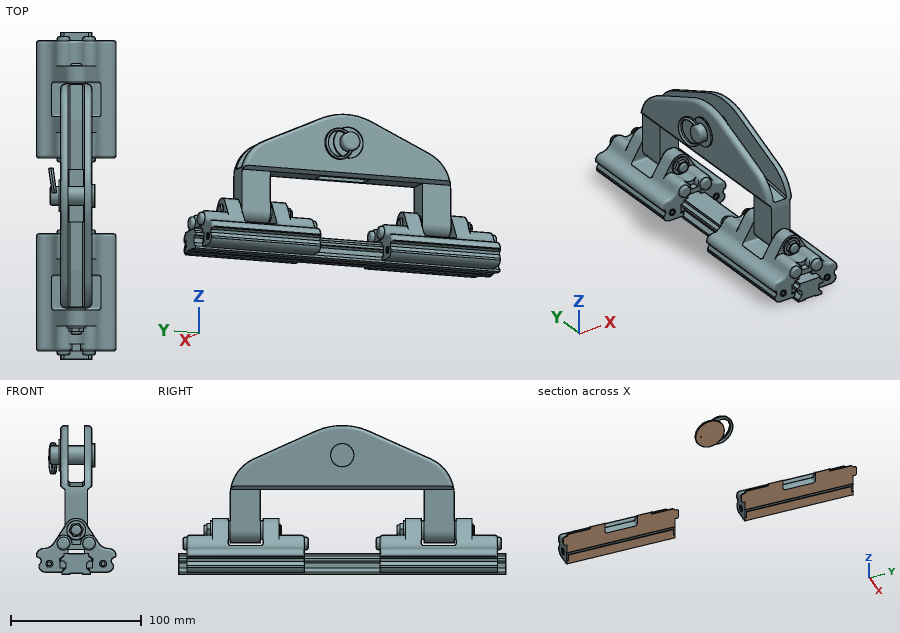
import cadquery as cq
import math

RAIL_LENGTH = 250.0
RAIL_TOP = 15.8
RAIL_NECK_HALF = 8.0

CARRIAGE_SPACING = 147.5
CARRIAGE_LENGTH = 89.8
CARRIAGE_HALF_WIDTH = 30.5
CARRIAGE_BOTTOM = 1.5
CARRIAGE_END_ROUND = 2.2
UNDERSIDE_SLOT_HALF = 6.2
UNDERSIDE_SLOT_TOP = 18.8
RETAINER_RECESS = 1.2
GREASE_HOLE_X = 20.5
GREASE_HOLE_Z = 8.0
GREASE_HOLE_STEPS = ((5.2, 0.8), (3.0, 3.0))

PIVOT_Z = 33.8
LUG_RADIUS = 9.0
LUG_PAIR_LENGTH = 51.0
FLANK_ANGLE = math.radians(33)
FLANK_FOOT_RADIUS = 9.0
WING_TOP = 19.8
LUG_GAP = 26.5
LUG_GAP_FLOOR = 22.0
LUG_GAP_FILLET = 1.8

BOSS_X = 9.8
BOSS_Z = 23.5
END_NOTCH_LENGTH = 5.5
END_NOTCH_FLOOR = 22.8
SCREW_HEAD_DIAMETER = 9.8
SCREW_HEAD_HEIGHT = 3.0
SCREW_HEAD_ROUND = 1.8

LEG_WIDTH = 17.5
LEG_LENGTH = 23.2
LEG_OUTER_Y = 85.8
LEG_FOOT_Z = 32.8
BEAM_HALF_WIDTH = 12.0
BEAM_BOTTOM = 64.8
BEAM_TOP = 113.8
BEAM_CROWN_RADIUS = 50.0
BEAM_SHOULDER_RADIUS = 31.0
BEAM_SHOULDER_Z = 60.0
BEAM_EDGE = 3.12
BEAM_BEVEL_HEIGHT = 2.8
FORK_GAP = 12.2
FORK_FLOOR = 70.2
FORK_FLOOR_END = 67.0
FORK_FLOOR_BREAK = 57.2
FORK_FLOOR_CHAMFER = 1.2
WINDOW_LENGTH = 40.0
WINDOW_WIDTH = 11.2

PIVOT_WASHER_DIAMETER = 14.5
PIVOT_WASHER_THICKNESS = 1.5
PIVOT_HEAD_DIAMETER = 9.0
PIVOT_HEAD_HEIGHT = 1.8
PIVOT_HEAD_CHAMFER = 1.2
PIVOT_NUT_FLATS = 9.5
PIVOT_NUT_TURN = 37.0
PIVOT_NUT_HEIGHT = 2.8
PIVOT_TIP_DIAMETER = 8.0
PIVOT_TIP_HEIGHT = 2.2
PIVOT_TIP_ROUND = 1.5

CLEVIS_Z = 91.0
CLEVIS_DIAMETER = 14.5
CLEVIS_END_X = -20.0
CLEVIS_END_ROUND = 1.8
CLEVIS_HEAD_DIAMETER = 17.8
CLEVIS_HEAD_HEIGHT = 2.2
CLEVIS_WASHER_DIAMETER = 24.0
CLEVIS_WASHER_THICKNESS = 1.2

RING_OUTER_DIAMETER = 24.0
RING_WIRE = 2.0
RING_COIL_PITCH = 1.5
RING_CENTRE = (-17.8, 9.5, 88.5)
RING_TILT = 8.0


def along_y(profile, y_start, length):
    """Extrude a sketch drawn in (X, Z) toward +Y."""
    return profile.extrude(-length).translate((0, y_start, 0))


def cylinder_y(x, z, diameter, y_start, length):
    disc = cq.Workplane("XZ").center(x, z).circle(diameter / 2)
    return along_y(disc, y_start, length)


def cylinder_x(y, z, diameter, x_start, length):
    disc = cq.Workplane("YZ").center(y, z).circle(diameter / 2)
    return disc.extrude(length).translate((x_start, 0, 0))


def mirrored_outline(half):
    """Close a right-hand (X, Z) outline that runs from axis to axis by mirroring it."""
    left = [(-x, z) for x, z in reversed(half)]
    return cq.Workplane("XZ").polyline(half + left).close()


def on_circle(centre_x, centre_z, radius, angle):
    return (centre_x + radius * math.cos(angle), centre_z + radius * math.sin(angle))


def make_rail():
    half = [
        (4.8, 0.8),
        (4.8, 0.0),
        (11.0, 0.0),
        (11.0, 1.8),
        (RAIL_NECK_HALF, 4.8),
        (RAIL_NECK_HALF, 8.5),
        (9.5, 10.0),
        (12.0, 10.0),
        (12.0, 12.0),
        (9.5, 14.0),
        (9.5, RAIL_TOP),
    ]
    return along_y(mirrored_outline(half), -RAIL_LENGTH / 2, RAIL_LENGTH)


LUG_TANGENT = on_circle(0, PIVOT_Z, LUG_RADIUS, FLANK_ANGLE)

BOSS_RADIUS = LUG_RADIUS - BOSS_X * math.cos(FLANK_ANGLE) + (PIVOT_Z - BOSS_Z) * math.sin(FLANK_ANGLE)
BOSS_TANGENT = on_circle(BOSS_X, BOSS_Z, BOSS_RADIUS, FLANK_ANGLE)

FOOT_Z = WING_TOP + FLANK_FOOT_RADIUS
FOOT_X = (LUG_RADIUS + FLANK_FOOT_RADIUS - (FOOT_Z - PIVOT_Z) * math.sin(FLANK_ANGLE)) / math.cos(FLANK_ANGLE)
FOOT_TANGENT = on_circle(FOOT_X, FOOT_Z, FLANK_FOOT_RADIUS, FLANK_ANGLE + math.pi)
FOOT_MIDDLE = on_circle(FOOT_X, FOOT_Z, FLANK_FOOT_RADIUS, (FLANK_ANGLE + 2.5 * math.pi) / 2)

WING_RADIUS = CARRIAGE_HALF_WIDTH - FOOT_X

VALLEY_ANGLE = math.atan2(BOSS_Z - PIVOT_Z, BOSS_X)
VALLEY_RADIUS = math.hypot(BOSS_X, PIVOT_Z - BOSS_Z) - BOSS_RADIUS
VALLEY_TANGENT = on_circle(0, PIVOT_Z, VALLEY_RADIUS, VALLEY_ANGLE)


def wing_outline():
    """Right half of the carriage from the middle of its underside up to the flank."""
    sketch = cq.Workplane("XZ").moveTo(0, CARRIAGE_BOTTOM).lineTo(23.0, CARRIAGE_BOTTOM)
    sketch = sketch.threePointArc((26.8, 2.8), (28.5, 5.2)).lineTo(28.5, 6.8).lineTo(26.8, 9.8)
    sketch = sketch.lineTo(27.2, 12.0).lineTo(30.0, 13.2).lineTo(CARRIAGE_HALF_WIDTH, WING_TOP - WING_RADIUS)
    wing_bow = on_circle(FOOT_X, WING_TOP - WING_RADIUS, WING_RADIUS, math.pi / 4)
    sketch = sketch.threePointArc(wing_bow, (FOOT_X, WING_TOP))
    return sketch.threePointArc(FOOT_MIDDLE, FOOT_TANGENT)


def lug_section(length):
    """Full-height section, with the arc round the pivot at its top."""
    top = PIVOT_Z + LUG_RADIUS
    bow = on_circle(0, PIVOT_Z, LUG_RADIUS, (FLANK_ANGLE + math.pi / 2) / 2)
    half = wing_outline().lineTo(*LUG_TANGENT).threePointArc(bow, (0, top)).close()
    return along_y(half, -length / 2, length).mirror("YZ", union=True).clean()


def boss_section(length):
    """Low section, with the two screw bosses and the valley between them."""
    bow = on_circle(0, PIVOT_Z, VALLEY_RADIUS, (VALLEY_ANGLE - math.pi / 2) / 2)
    half = wing_outline().lineTo(*BOSS_TANGENT)
    half = half.threePointArc((BOSS_X, BOSS_Z + BOSS_RADIUS), VALLEY_TANGENT)
    half = half.threePointArc(bow, (0, PIVOT_Z - VALLEY_RADIUS)).close()
    return along_y(half, -length / 2, length).mirror("YZ", union=True).clean()


def end_notch():
    """Space between the two boss cylinders, from the notch floor up, starting at Y = 0."""
    height = PIVOT_Z - END_NOTCH_FLOOR
    sketch = cq.Workplane("XZ").center(0, END_NOTCH_FLOOR + height / 2).rect(2 * BOSS_X, height)
    notch = along_y(sketch, 0, END_NOTCH_LENGTH)
    for side in (-1, 1):
        notch = notch.cut(cylinder_y(side * BOSS_X, BOSS_Z, 2 * BOSS_RADIUS, 0, END_NOTCH_LENGTH))
    return notch


def make_carriage():
    """Carriage centred on Y = 0."""
    end_y = CARRIAGE_LENGTH / 2
    body = boss_section(CARRIAGE_LENGTH)
    upper = cq.selectors.BoxSelector((-32.5, -50, 13.8), (32.5, 50, 50))
    body = body.faces("<Y or >Y").edges(upper).fillet(CARRIAGE_END_ROUND)
    body = body.union(lug_section(LUG_PAIR_LENGTH))
    body = body.cut(end_notch().translate((0, -end_y, 0)))

    gap_height = PIVOT_Z
    gap = cq.Workplane("XY").box(2 * CARRIAGE_HALF_WIDTH, LUG_GAP, gap_height)
    gap = gap.edges("|X and <Z").fillet(LUG_GAP_FILLET)
    body = body.cut(gap.translate((0, 0, LUG_GAP_FLOOR + gap_height / 2)))

    channel = [
        (11.0, 0.0),
        (11.0, CARRIAGE_BOTTOM),
        (9.8, 2.8),
        (9.8, 4.8),
        (12.5, 4.8),
        (12.5, 11.8),
        (9.5, 14.0),
        (9.5, RAIL_TOP),
        (UNDERSIDE_SLOT_HALF, RAIL_TOP),
        (UNDERSIDE_SLOT_HALF, UNDERSIDE_SLOT_TOP),
    ]
    body = body.cut(along_y(mirrored_outline(channel), -end_y, CARRIAGE_LENGTH))

    strip_length = CARRIAGE_LENGTH - 2 * RETAINER_RECESS
    for side in (-1, 1):
        strip = cq.Workplane("XZ").center(side * (12.5 + RAIL_NECK_HALF) / 2, (4.8 + 10.0) / 2)
        strip = strip.rect(12.5 - RAIL_NECK_HALF, 10.0 - 4.8)
        body = body.union(along_y(strip, -strip_length / 2, strip_length))

        for diameter, depth in GREASE_HOLE_STEPS:
            for hole_y in (-end_y, end_y - depth):
                body = body.cut(cylinder_y(side * GREASE_HOLE_X, GREASE_HOLE_Z, diameter, hole_y, depth))

        screw_length = CARRIAGE_LENGTH + 2 * SCREW_HEAD_HEIGHT
        heads = cylinder_y(side * BOSS_X, BOSS_Z, SCREW_HEAD_DIAMETER, -screw_length / 2, screw_length)
        heads = heads.faces("<Y or >Y").edges().fillet(SCREW_HEAD_ROUND)
        core = cq.Workplane("XY").box(75, CARRIAGE_LENGTH - 5, 100)
        body = body.union(heads.cut(core))
    return body.union(make_pivot_pin())


def make_pivot_pin():
    """Pin along Y through both lugs: head at +Y, washer, nut and rounded tip at -Y."""
    lug_y = LUG_PAIR_LENGTH / 2
    nut_y = -lug_y - PIVOT_WASHER_THICKNESS - PIVOT_NUT_HEIGHT
    tip_y = nut_y - PIVOT_TIP_HEIGHT
    pin = cylinder_y(0, PIVOT_Z, PIVOT_TIP_DIAMETER, tip_y, lug_y - tip_y)
    pin = pin.faces("<Y").edges().fillet(PIVOT_TIP_ROUND)
    hexagon = cq.Workplane("XZ").center(0, PIVOT_Z).polygon(6, PIVOT_NUT_FLATS, circumscribed=True)
    nut = along_y(hexagon, nut_y, PIVOT_NUT_HEIGHT)
    pin = pin.union(nut.rotate((0, 0, PIVOT_Z), (0, 1, PIVOT_Z), -PIVOT_NUT_TURN))
    for washer_y, thickness in (
        (-lug_y - PIVOT_WASHER_THICKNESS, PIVOT_WASHER_THICKNESS),
        (-LUG_GAP / 2, LUG_GAP),
    ):
        pin = pin.union(cylinder_y(0, PIVOT_Z, PIVOT_WASHER_DIAMETER, washer_y, thickness))
    head = cylinder_y(0, PIVOT_Z, PIVOT_HEAD_DIAMETER, lug_y, PIVOT_HEAD_HEIGHT)
    return pin.union(head.faces(">Y").edges().chamfer(PIVOT_HEAD_CHAMFER))


def beam_side(half_width):
    """Beam silhouette in (Y, Z): crown arc, straight slopes, shoulder arcs and plumb ends down to Z = 0."""
    crown_z = BEAM_TOP - BEAM_CROWN_RADIUS
    shoulder_y = LEG_OUTER_Y - BEAM_SHOULDER_RADIUS
    rise = crown_z - BEAM_SHOULDER_Z
    reach = math.hypot(shoulder_y, rise)
    normal = math.acos((BEAM_CROWN_RADIUS - BEAM_SHOULDER_RADIUS) / reach) - math.atan2(rise, shoulder_y)
    crown = on_circle(0, crown_z, BEAM_CROWN_RADIUS, normal)
    shoulder = on_circle(shoulder_y, BEAM_SHOULDER_Z, BEAM_SHOULDER_RADIUS, normal)
    bow = on_circle(shoulder_y, BEAM_SHOULDER_Z, BEAM_SHOULDER_RADIUS, normal / 2)
    sketch = cq.Workplane("YZ").moveTo(LEG_OUTER_Y, 0).lineTo(LEG_OUTER_Y, BEAM_SHOULDER_Z)
    sketch = sketch.threePointArc(bow, shoulder).lineTo(*crown)
    sketch = sketch.threePointArc((0, BEAM_TOP), (-crown[0], crown[1])).lineTo(-shoulder[0], shoulder[1])
    sketch = sketch.threePointArc((-bow[0], bow[1]), (-LEG_OUTER_Y, BEAM_SHOULDER_Z))
    return sketch.lineTo(-LEG_OUTER_Y, 0).close().extrude(half_width, both=True)


def make_beam():
    beam = beam_side(BEAM_HALF_WIDTH)
    beam = beam.faces("<X or >X").edges("not <Z").fillet(BEAM_EDGE)
    bevel = [
        (BEAM_HALF_WIDTH - BEAM_EDGE, BEAM_BOTTOM),
        (BEAM_HALF_WIDTH, BEAM_BOTTOM + BEAM_BEVEL_HEIGHT),
        (BEAM_HALF_WIDTH, BEAM_TOP),
    ]
    beam = beam.intersect(along_y(mirrored_outline(bevel), -LEG_OUTER_Y, 2 * LEG_OUTER_Y))

    floor = [
        (LEG_OUTER_Y, FORK_FLOOR_END),
        (FORK_FLOOR_BREAK, FORK_FLOOR),
        (-FORK_FLOOR_BREAK, FORK_FLOOR),
        (-LEG_OUTER_Y, FORK_FLOOR_END),
        (-LEG_OUTER_Y, BEAM_TOP),
        (LEG_OUTER_Y, BEAM_TOP),
    ]
    fork = cq.Workplane("YZ").polyline(floor).close().extrude(FORK_GAP / 2, both=True)
    floor_edges = cq.selectors.BoxSelector((-7.5, -100, FORK_FLOOR_END - 2.5), (7.5, 100, FORK_FLOOR + 2.5))
    fork = fork.faces("<X or >X").edges(floor_edges).chamfer(FORK_FLOOR_CHAMFER)
    window = cq.Workplane("XY").box(WINDOW_WIDTH, WINDOW_LENGTH, 2 * BEAM_TOP)
    return beam.cut(fork).cut(window)


def make_legs():
    """Legs with a round foot, trimmed to the beam silhouette where they meet it."""
    half = LEG_WIDTH / 2
    profile = cq.Workplane("XZ").moveTo(half, LEG_FOOT_Z).lineTo(half, FORK_FLOOR_END)
    profile = profile.lineTo(-half, FORK_FLOOR_END).lineTo(-half, LEG_FOOT_Z)
    profile = profile.threePointArc((0, LEG_FOOT_Z - half), (half, LEG_FOOT_Z)).close()
    leg = along_y(profile, LEG_OUTER_Y - LEG_LENGTH, LEG_LENGTH)
    return leg.union(leg.mirror("XZ")).intersect(beam_side(half))


def make_clevis_pin():
    pin = cylinder_x(0, CLEVIS_Z, CLEVIS_DIAMETER, CLEVIS_END_X, BEAM_HALF_WIDTH - CLEVIS_END_X)
    pin = pin.faces("<X").edges().fillet(CLEVIS_END_ROUND)
    head = cylinder_x(0, CLEVIS_Z, CLEVIS_HEAD_DIAMETER, BEAM_HALF_WIDTH, CLEVIS_HEAD_HEIGHT)
    washer_x = -BEAM_HALF_WIDTH - CLEVIS_WASHER_THICKNESS
    washer = cylinder_x(0, CLEVIS_Z, CLEVIS_WASHER_DIAMETER, washer_x, CLEVIS_WASHER_THICKNESS)
    return pin.union(head).union(washer)


def make_split_ring():
    """Two touching coils of wire, tilted about Z."""
    ring_radius = (RING_OUTER_DIAMETER - RING_WIRE) / 2
    coil = cq.Workplane("XY").center(0, ring_radius).circle(RING_WIRE / 2)
    coil = coil.revolve(360, (-2.5, -ring_radius, 0), (2.5, -ring_radius, 0))
    ring = coil.translate((-RING_COIL_PITCH / 2, 0, 0)).union(coil.translate((RING_COIL_PITCH / 2, 0, 0)))
    return ring.rotate((0, 0, 0), (0, 0, 1), RING_TILT).translate(RING_CENTRE)


result = make_rail().union(make_beam()).union(make_legs())
for side_y in (-1, 1):
    result = result.union(make_carriage().translate((0, side_y * CARRIAGE_SPACING / 2, 0)))
result = result.union(make_clevis_pin()).union(make_split_ring())